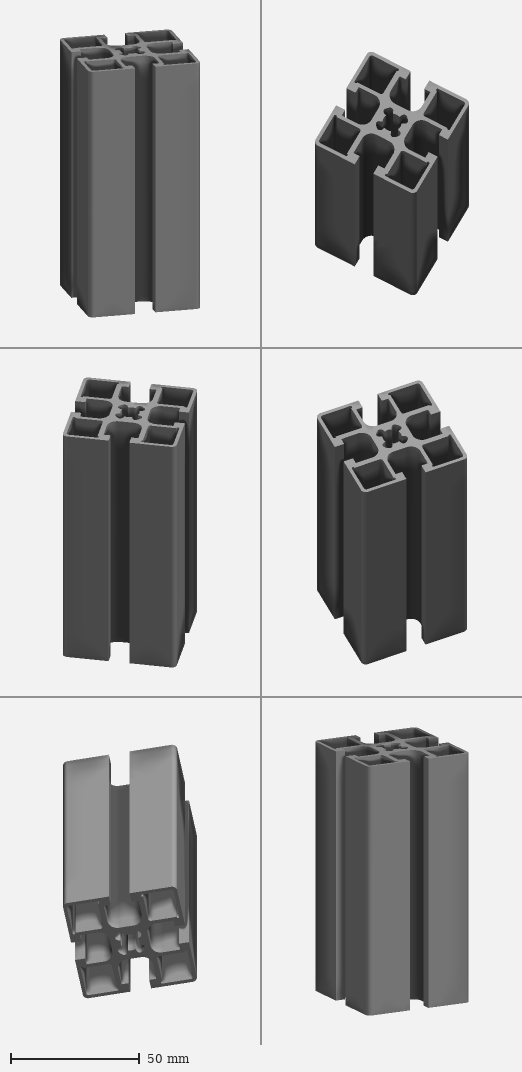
import cadquery as cq
import math

SIDE = 45.0
LENGTH = 100.0
OUTER_RADIUS = 2.0

SLOT_OPENING = 8.2
SLOT_WIDTH = 13.7
LIP_THICKNESS = 4.0
SLOT_FLOOR = 7.5
SLOT_FLOOR_RADIUS = 4.0

OUTER_WALL = 1.4
WALL_BESIDE_Y_SLOT = 2.1
WALL_BESIDE_X_SLOT = 1.5
CHAMBER_RADIUS = 1.0
RELIEF_WIDTH = 1.1
RELIEF_DEPTH = 0.6
RELIEF_RADIUS = 0.5

BORE_RADIUS = 3.7
LOBE_RADIUS = 6.3
LOBE_HALF_ANGLE = 22.0
LOBE_CORNER_RADIUS = 1.2

half_side = SIDE / 2


def block(x_min, x_max, y_min, y_max):
    """Full-length rectangular bar between the given X and Y limits."""
    width = x_max - x_min
    depth = y_max - y_min
    return cq.Workplane("XY").box(width, depth, LENGTH, centered=False).translate((x_min, y_min, 0))


def t_slot():
    """Void of the T-slot that opens toward +X."""
    half_width = SLOT_WIDTH / 2
    half_opening = SLOT_OPENING / 2
    channel = block(SLOT_FLOOR, half_side - LIP_THICKNESS, -half_width, half_width)
    channel = channel.edges("|Z and <X").fillet(SLOT_FLOOR_RADIUS)
    mouth = block(SLOT_FLOOR + SLOT_FLOOR_RADIUS, half_side, -half_opening, half_opening)
    return channel.union(mouth)


def chamber():
    """Void of the chamber in the +X +Y corner, with a relief notch behind each slot lip."""
    x_min = SLOT_WIDTH / 2 + WALL_BESIDE_Y_SLOT
    y_min = SLOT_WIDTH / 2 + WALL_BESIDE_X_SLOT
    outer = half_side - OUTER_WALL
    relief_start = outer - RELIEF_WIDTH
    main = block(x_min, outer, y_min, outer).edges("|Z").fillet(CHAMBER_RADIUS)
    x_relief = block(x_min - RELIEF_DEPTH, x_min + RELIEF_WIDTH, relief_start, outer)
    y_relief = block(relief_start, outer, y_min - RELIEF_DEPTH, y_min + RELIEF_WIDTH)
    x_relief = x_relief.edges("|Z and <X").fillet(RELIEF_RADIUS)
    y_relief = y_relief.edges("|Z and <Y").fillet(RELIEF_RADIUS)
    return main.union(x_relief).union(y_relief)


def polar(radius, degrees):
    """XY point at the given radius and angle from +X."""
    angle = math.radians(degrees)
    return (radius * math.cos(angle), radius * math.sin(angle))


def bore_lobe():
    """Void of one core lobe: a sector along +X with rounded outer corners."""
    sector = (
        cq.Workplane("XY")
        .lineTo(*polar(LOBE_RADIUS, -LOBE_HALF_ANGLE))
        .threePointArc((LOBE_RADIUS, 0), polar(LOBE_RADIUS, LOBE_HALF_ANGLE))
        .close()
        .extrude(LENGTH)
    )
    return sector.edges("|Z and (not <X)").fillet(LOBE_CORNER_RADIUS)


def turned(shape, degrees):
    """The shape turned about the profile axis."""
    return shape.rotate((0, 0, 0), (0, 0, 1), degrees)


def mirrored_to_corners(shape):
    """The shape together with its mirror images in the XZ and YZ planes."""
    pair = shape.union(shape.mirror("YZ"))
    return pair.union(pair.mirror("XZ"))


profile = block(-half_side, half_side, -half_side, half_side).edges("|Z").fillet(OUTER_RADIUS)
profile = profile.cut(mirrored_to_corners(chamber()))
profile = profile.cut(cq.Workplane("XY").circle(BORE_RADIUS).extrude(LENGTH))
for quarter_turn in range(4):
    direction = 90 * quarter_turn
    profile = profile.cut(turned(t_slot(), direction))
    profile = profile.cut(turned(bore_lobe(), direction + 45))

result = profile.translate((0, 0, -LENGTH / 2))